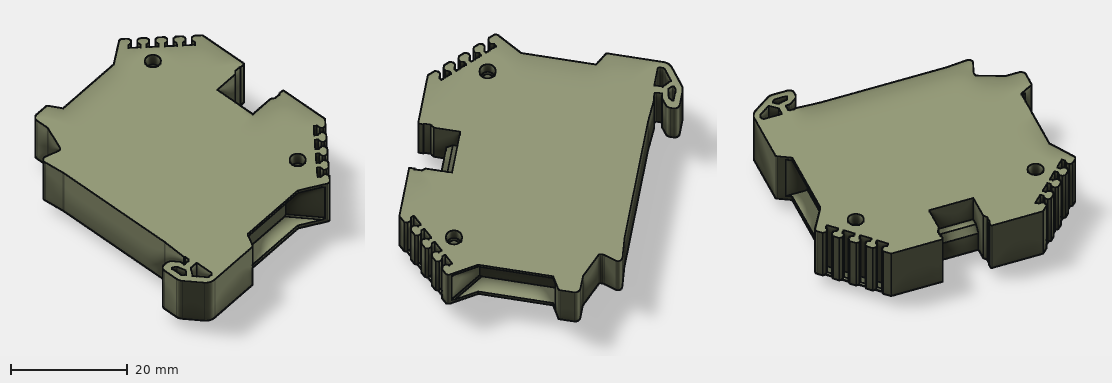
import cadquery as cq
import math

length_y = 43.5
tip_half_width = 23.92
body_half_width = 21.1
body_height = 10.25
pin_length = 2.35

top_corner_x = 14.0
shoulder_y = 28.5
tip_lower_y = 33.1
tip_upper_y = length_y - (tip_half_width - top_corner_x)
tip_radius = 0.5

notch_half_width = 4.05
notch_mouth_half_width = 4.4
notch_mouth_radius = 0.2
notch_relief_half_width = 4.55
notch_lip_y = 42.55
notch_relief_y = 41.3
notch_step_y = 40.65
notch_floor_y = 36.1
ledge_slope_y = 37.35
ledge_end_y = 38.5
ledge_z = body_height / 2

foot_half_width = 23.6
foot_top_y = 14.1
foot_top_radius = 0.4
foot_inner_y = 15.5
left_foot_bottom_y = 10.5
base_y = 4.8
base_half_width = 11.6
left_toe_y = 4.35
base_low_y = 4.5
base_radius = 2.85

slot_count = 4
slot_pitch = 3.1
first_slot = 2.45
slot_mouth_half = 0.95
slot_throat_half = 0.55
slot_foot_half = 1.05
slot_mouth_depth = 0.45
slot_throat_depth = 1.0
slot_flare_depth = 1.5
slot_depth = 2.05
slot_floor_z = 0.35
lead_in_start = 0.35
lead_in_end = 0.75
lead_in_z = 0.2

pocket_bottom_z = 0.85
pocket_top_z = 9.55
pocket_lower_y = 15.0
pocket_inner_y = 28.8
pocket_upper_y = 32.7
pocket_floor_x = 18.1
pocket_mouth_x = 23.55
pocket_chamfer = 0.3

pin_x = 16.55
pin_y = 33.55
pin_root_radius = 1.45
pin_tip_radius = 1.65
pin_chamfer = 0.25
socket_mouth_radius = 1.4
socket_taper_radius = 1.2
socket_end_radius = 0.9
socket_taper_depth = pin_length
socket_chamfer = socket_taper_radius - socket_end_radius

hook_pocket_floor_z = slot_floor_z


def rounded_outline(corners):
    """Closed wire through (x, y, radius) corners; a zero radius leaves a corner sharp."""
    points = []
    for i, (x, y, radius) in enumerate(corners):
        before, after = corners[i - 1], corners[(i + 1) % len(corners)]
        corner = cq.Vector(x, y)
        to_before = (cq.Vector(before[0], before[1]) - corner).normalized()
        to_after = (cq.Vector(after[0], after[1]) - corner).normalized()
        half_angle = to_before.getAngle(to_after) / 2
        setback = radius / math.tan(half_angle)
        bisector = (to_before + to_after).normalized()
        arc_middle = corner + bisector * (radius / math.sin(half_angle) - radius)
        points.append((corner + to_before * setback, arc_middle, corner + to_after * setback, radius))

    path = cq.Workplane("XY").moveTo(*points[0][2].toTuple()[:2])
    for start, middle, end, radius in points[1:] + points[:1]:
        path = path.lineTo(*start.toTuple()[:2])
        if radius > 0:
            path = path.threePointArc(middle.toTuple()[:2], end.toTuple()[:2])
    return path.close()


def both_sides(shape):
    return shape.union(shape.mirror("YZ"))


def make_housing():
    upper_left = [
        (-notch_half_width, notch_floor_y, 0),
        (-notch_half_width, notch_step_y, 0),
        (-notch_relief_half_width, notch_relief_y, 0),
        (-notch_relief_half_width, notch_lip_y, 0),
        (-notch_mouth_half_width, notch_lip_y, 0),
        (-notch_mouth_half_width, length_y, notch_mouth_radius),
        (-top_corner_x, length_y, 0),
        (-tip_half_width, tip_upper_y, tip_radius),
        (-tip_half_width, tip_lower_y, tip_radius),
        (-body_half_width, shoulder_y, 0),
        (-body_half_width, foot_inner_y, 0),
        (-foot_half_width, foot_top_y, foot_top_radius),
    ]
    upper_right = [(-x, y, radius) for x, y, radius in reversed(upper_left)]
    left_foot = [
        (-foot_half_width, left_foot_bottom_y, 0.95),
        (-20.2, left_foot_bottom_y, 0.5),
        (-15.4, 8.45, 0.3),
        (-15.4, 7.8, 0.95),
        (-16.6, left_toe_y, 0.75),
    ]
    hook = [
        (16.2, base_low_y, 0),
        (16.5, 4.65, 0),
        (17.45, 4.65, 0.3),
        (17.45, 3.3, 0),
        (16.65, 3.3, 0.57),
        (14.95, 2.05, 1.15),
        (14.95, 0, 0.9),
        (19.15, 0, 1.9),
        (foot_half_width, 3.15, 2.1),
    ]
    base = [(-base_half_width, base_y, base_radius), (base_half_width, base_y, base_radius)]
    outline = rounded_outline(upper_left + left_foot + base + hook + upper_right)
    return outline.extrude(body_height)


def make_ledge():
    """Bar across the notch whose +Y edge is bevelled at 45 degrees."""
    bevel = ledge_end_y - ledge_slope_y
    side_profile = [
        (notch_floor_y, 0),
        (ledge_end_y, 0),
        (ledge_end_y, ledge_z - bevel),
        (ledge_slope_y, ledge_z),
        (notch_floor_y, ledge_z),
    ]
    return cq.Workplane("YZ").polyline(side_profile).close().extrude(notch_half_width, both=True)


def make_marker_slot(distance):
    """Cutter for one dovetail slot, at a distance along the left 45 degree edge from its top."""
    diagonal = math.sqrt(0.5)
    center = (-top_corner_x - distance * diagonal, length_y - distance * diagonal, 0)
    along = (-diagonal, -diagonal, 0)
    inward = (diagonal, -diagonal, 0)
    edge_plane = cq.Plane(origin=center, xDir=along, normal=(0, 0, 1))
    section_plane = cq.Plane(origin=center, xDir=inward, normal=along)

    half_mouth = [(slot_mouth_half, 0), (slot_throat_half, slot_mouth_depth)]
    half_dovetail = [
        (slot_throat_half, slot_throat_depth),
        (slot_foot_half, slot_flare_depth),
        (slot_foot_half, slot_depth),
    ]

    def mirrored(half):
        return half + [(-x, depth) for x, depth in reversed(half)]

    slot = (
        cq.Workplane(edge_plane)
        .polyline(mirrored(half_mouth + half_dovetail))
        .close()
        .extrude(body_height)
    )
    floor_profile = [
        (lead_in_start, 0),
        (slot_depth, 0),
        (slot_depth, slot_floor_z),
        (lead_in_end, slot_floor_z),
        (lead_in_start, lead_in_z),
    ]
    floor = (
        cq.Workplane(section_plane)
        .polyline(floor_profile)
        .close()
        .extrude(slot_foot_half, both=True)
    )
    return slot.cut(floor)


def make_wire_pocket():
    """Cutter for the left wire pocket, with a slanted +Y wall bevelled along its top and bottom edges."""
    outline = [
        (-pocket_floor_x, pocket_lower_y),
        (-tip_half_width, pocket_lower_y),
        (-tip_half_width, pocket_upper_y),
        (-pocket_mouth_x, pocket_upper_y),
        (-pocket_floor_x, pocket_inner_y),
    ]
    pocket = (
        cq.Workplane("XY")
        .workplane(offset=pocket_bottom_z)
        .polyline(outline)
        .close()
        .extrude(pocket_top_z - pocket_bottom_z)
    )
    funnel_middle = (
        -(pocket_floor_x + pocket_mouth_x) / 2,
        (pocket_inner_y + pocket_upper_y) / 2,
    )
    for z in (pocket_bottom_z, pocket_top_z):
        funnel_edge = cq.selectors.NearestToPointSelector((*funnel_middle, z))
        pocket = pocket.edges(funnel_edge).chamfer(pocket_chamfer)
    return pocket


def make_pin():
    """Pin that widens towards its chamfered tip; the root reaches up to the housing base."""
    chamfer_z = pin_chamfer - pin_length
    profile = [
        (0, 0),
        (pin_root_radius, 0),
        (pin_tip_radius, chamfer_z),
        (pin_root_radius, -pin_length),
        (0, -pin_length),
    ]
    pin = cq.Workplane("XZ").polyline(profile).close().revolve(360, (0, 0), (0, 1))
    return pin.translate((-pin_x, pin_y, 0))


def make_socket():
    """Cutter for a tapered blind hole with a chamfered bottom."""
    taper_z = body_height - socket_taper_depth
    end_z = taper_z - socket_chamfer
    profile = [
        (0, body_height),
        (socket_mouth_radius, body_height),
        (socket_taper_radius, taper_z),
        (socket_end_radius, end_z),
        (0, end_z),
    ]
    socket = cq.Workplane("XZ").polyline(profile).close().revolve(360, (0, 0), (0, 1))
    return socket.translate((-pin_x, pin_y, 0))


def make_hook_pockets():
    """Cutters for the two blind pockets that lighten the hook."""
    upper_pocket = [
        (18.8, 5.0, 0),
        (22.45, 5.0, 0.4),
        (22.45, 3.88, 0.57),
        (20.2, 2.3, 0),
        (18.8, 3.5, 0),
    ]
    lower_pocket = [
        (16.25, 1.2, 0.15),
        (16.8, 2.05, 0.25),
        (18.5, 2.5, 0.2),
        (19.3, 1.75, 0.2),
        (18.65, 1.2, 0.15),
    ]
    depth = body_height - hook_pocket_floor_z
    cutters = rounded_outline(upper_pocket).extrude(depth)
    cutters = cutters.union(rounded_outline(lower_pocket).extrude(depth))
    return cutters.translate((0, 0, hook_pocket_floor_z))


housing = make_housing().union(make_ledge())
for index in range(slot_count):
    housing = housing.cut(both_sides(make_marker_slot(first_slot + index * slot_pitch)))
housing = housing.cut(both_sides(make_wire_pocket()))
housing = housing.cut(both_sides(make_socket()))
housing = housing.cut(make_hook_pockets())
result = housing.union(both_sides(make_pin()))